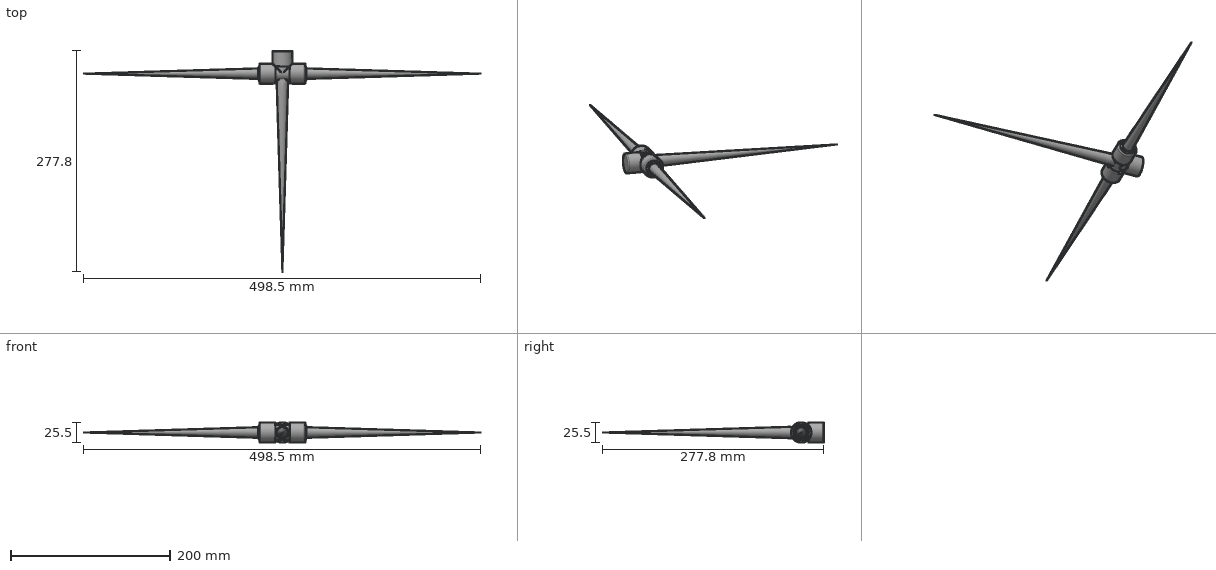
import cadquery as cq

span = 498.5
blade_length = span / 2
blade_root_diameter = 15.5
blade_tip_diameter = 0.1

hub_diameter = 19.0
cap_diameter = 25.5
cap_inner_end = 9.0
blade_cap_outer_end = 29.0
back_cap_outer_end = 28.5
cap_inner_fillet = 0.5
cap_outer_fillet = 1.5

collar_base_diameter = hub_diameter
collar_length = 1.5

CENTRE = cq.Vector(0, 0, 0)
RIGHT = cq.Vector(1, 0, 0)
LEFT = cq.Vector(-1, 0, 0)
FRONT = cq.Vector(0, -1, 0)
BACK = cq.Vector(0, 1, 0)


def blade_diameter_at(distance):
    """Diameter of the tapered blade at a distance from the hub centre."""
    taper = (blade_root_diameter - blade_tip_diameter) / blade_length
    return blade_root_diameter - taper * distance


def blade(direction):
    """Slender cone from the hub centre to its tip."""
    return cq.Solid.makeCone(
        blade_root_diameter / 2, blade_tip_diameter / 2, blade_length, CENTRE, direction
    )


def hub_arm(direction):
    """Round arm from the hub centre to inside a cap."""
    length = (cap_inner_end + back_cap_outer_end) / 2
    return cq.Solid.makeCylinder(hub_diameter / 2, length, CENTRE, direction)


def cap(direction, outer_end):
    """Round cap with a slightly eased inner rim and a rounded outer rim."""
    drum = (
        cq.Workplane("XY")
        .workplane(offset=cap_inner_end)
        .circle(cap_diameter / 2)
        .extrude(outer_end - cap_inner_end)
        .faces("<Z").edges().fillet(cap_inner_fillet)
        .faces(">Z").edges().fillet(cap_outer_fillet)
    )
    arm_plane = cq.Plane(origin=(0, 0, 0), xDir=(0, 0, 1), normal=direction.toTuple())
    return drum.val().moved(cq.Location(arm_plane))


def collar(direction):
    """Short cone narrowing from the cap face to the blade surface."""
    tip_diameter = blade_diameter_at(blade_cap_outer_end + collar_length)
    return cq.Solid.makeCone(
        collar_base_diameter / 2, tip_diameter / 2, collar_length,
        direction * blade_cap_outer_end, direction,
    )


body = cq.Workplane(obj=hub_arm(RIGHT))
for direction in (LEFT, BACK):
    body = body.union(cq.Workplane(obj=hub_arm(direction)))

body = body.union(cq.Workplane(obj=cap(BACK, back_cap_outer_end)))
for direction in (RIGHT, LEFT):
    body = body.union(cq.Workplane(obj=cap(direction, blade_cap_outer_end)))
    body = body.union(cq.Workplane(obj=collar(direction)))

for direction in (RIGHT, LEFT, FRONT):
    body = body.union(cq.Workplane(obj=blade(direction)))

result = body.solids()